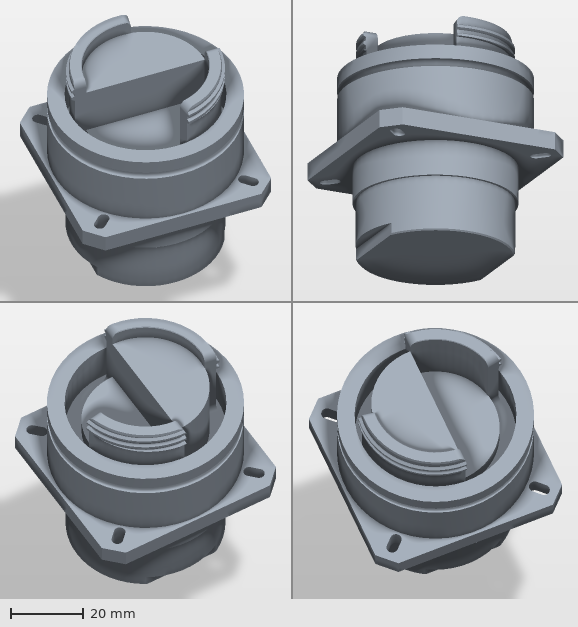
import cadquery as cq
import math

total_height = 64.26
flat_height = 3.4
step_z = 16.0
flange_bottom_z = 26.25
flange_top_z = 31.35
collar_top_z = 52.9
bore_floor_z = 41.2
low_core_z = 45.5
high_core_z = 59.85

flange_side = 56.39
flange_corner = 4.85
slot_offset = 21.95
slot_width = 3.2
slot_travel = 2.77

shoulder_radius = 23.06
tail_radius = 22.2
tail_chamfer = 0.4
flat_distance = 18.95

collar_radius = 27.35
bore_radius = 22.45
groove_bottom_z = 46.6
groove_width = 2.27
groove_floor_radius = 25.35

core_radius = 17.8
segment_inner_radius = 17.7
segment_inner_chamfer = 0.2
relief_radius = 21.1
root_radius = 21.25
tip_chamfer = (0.25, 0.7)
segment_spans = ((11, 90), (171, 270))
end_round = 2.2
base_fillet = 1.5

pitch = 2.54
crest_radius = 22.1
ridge_root_width = 1.6
ridge_crest_width = 0.7
thread_bottom_z = total_height - 6.33
top_crest_z = total_height - 1.56
thread_end_angle = 90
thread_turns = 2 + thread_end_angle / 360
ridge_embed = 0.3

overlap = 0.5


def cylinder(radius, bottom_z, top_z):
    return cq.Workplane("XY").workplane(offset=bottom_z).circle(radius).extrude(top_z - bottom_z)


def make_flange():
    flange = (
        cq.Workplane("XY")
        .workplane(offset=flange_bottom_z)
        .rect(flange_side, flange_side)
        .extrude(flange_top_z - flange_bottom_z)
        .edges("|Z")
        .chamfer(flange_corner)
    )
    slot_radius = slot_offset * math.sqrt(2)
    for angle in (45, 135, 225, 315):
        slot = (
            cq.Workplane("XY")
            .workplane(offset=flange_bottom_z)
            .center(slot_radius, 0)
            .slot2D(slot_travel + slot_width, slot_width)
            .extrude(flange_top_z - flange_bottom_z)
            .rotate((0, 0, 0), (0, 0, 1), angle)
        )
        flange = flange.cut(slot)
    return flange


def make_rear_body():
    tail = cylinder(tail_radius, 0, step_z).faces("<Z").chamfer(tail_chamfer)
    for side in (-1, 1):
        cut_depth = tail_radius - flat_distance + overlap
        flat = cq.Workplane("XY").box(2 * tail_radius, cut_depth, flat_height, centered=(True, True, False))
        tail = tail.cut(flat.translate((0, side * (flat_distance + cut_depth / 2), 0)))
    shoulder = cylinder(shoulder_radius, step_z, flange_bottom_z)
    return tail.union(shoulder)


def make_collar():
    collar = cylinder(collar_radius, flange_top_z, collar_top_z)
    collar = collar.cut(cylinder(bore_radius, bore_floor_z, collar_top_z))
    half_width = groove_width / 2
    arc_radius = groove_floor_radius + half_width
    groove = (
        cq.Workplane("XZ")
        .moveTo(collar_radius + overlap, groove_bottom_z)
        .lineTo(arc_radius, groove_bottom_z)
        .threePointArc(
            (groove_floor_radius, groove_bottom_z + half_width),
            (arc_radius, groove_bottom_z + groove_width),
        )
        .lineTo(collar_radius + overlap, groove_bottom_z + groove_width)
        .close()
        .revolve(360, (0, 0, 0), (0, 1, 0))
    )
    return collar.cut(groove)


def make_core():
    low_core = cylinder(core_radius, bore_floor_z, low_core_z)
    left_half = cq.Workplane("XY").box(
        core_radius, 2 * core_radius, total_height, centered=(False, True, False)
    ).translate((-core_radius, 0, 0))
    high_core = cylinder(core_radius, bore_floor_z, high_core_z).intersect(left_half)
    return low_core.union(high_core)


def make_thread():
    start_z = top_crest_z - pitch * thread_turns
    inner_radius = root_radius - ridge_embed
    path = cq.Wire.makeHelix(pitch, pitch * thread_turns, inner_radius).translate(cq.Vector(0, 0, start_z))
    ridge = (
        cq.Workplane("XZ")
        .moveTo(inner_radius, start_z - ridge_root_width / 2)
        .lineTo(root_radius, start_z - ridge_root_width / 2)
        .lineTo(crest_radius, start_z - ridge_crest_width / 2)
        .lineTo(crest_radius, start_z + ridge_crest_width / 2)
        .lineTo(root_radius, start_z + ridge_root_width / 2)
        .lineTo(inner_radius, start_z + ridge_root_width / 2)
        .close()
        .sweep(cq.Workplane(obj=path), isFrenet=True)
    )
    return ridge.intersect(cylinder(crest_radius + overlap, thread_bottom_z, total_height))


def make_threaded_ring():
    radial_chamfer, axial_chamfer = tip_chamfer
    sleeve = (
        cq.Workplane("XZ")
        .moveTo(segment_inner_radius, bore_floor_z)
        .lineTo(relief_radius, bore_floor_z)
        .lineTo(relief_radius, thread_bottom_z)
        .lineTo(root_radius, thread_bottom_z)
        .lineTo(root_radius, total_height - axial_chamfer)
        .lineTo(root_radius - radial_chamfer, total_height)
        .lineTo(segment_inner_radius + segment_inner_chamfer, total_height)
        .lineTo(segment_inner_radius, total_height - segment_inner_chamfer)
        .close()
        .revolve(360, (0, 0, 0), (0, 1, 0))
    )
    return sleeve.union(make_thread())


def make_sector(start_angle, end_angle):
    reach = 2 * crest_radius
    corners = [(0, 0)]
    for angle in (start_angle, (start_angle + end_angle) / 2, end_angle):
        corners.append((reach * math.cos(math.radians(angle)), reach * math.sin(math.radians(angle))))
    return cq.Workplane("XY").polyline(corners).close().extrude(total_height)


def corner_sliver(corner_z, radius, side, inner_radius, outer_radius):
    """Corner-to-arc sliver at angle 0, running radially; side is its sign in Y and Z."""
    diagonal = radius * (1 - math.sqrt(0.5))
    return (
        cq.Workplane("YZ")
        .workplane(offset=inner_radius)
        .moveTo(0, corner_z)
        .lineTo(side[0] * radius, corner_z)
        .threePointArc(
            (side[0] * diagonal, corner_z + side[1] * diagonal),
            (0, corner_z + side[1] * radius),
        )
        .close()
        .extrude(outer_radius - inner_radius)
    )


def make_segment(threaded_ring, start_angle, end_angle):
    segment = threaded_ring.intersect(make_sector(start_angle, end_angle))
    for angle, inward in ((start_angle, 1), (end_angle, -1)):
        rounding = corner_sliver(
            total_height, end_round, (inward, -1), segment_inner_radius - overlap, crest_radius + overlap
        )
        fillet = corner_sliver(bore_floor_z, base_fillet, (-inward, 1), segment_inner_radius, relief_radius)
        segment = segment.cut(rounding.rotate((0, 0, 0), (0, 0, 1), angle))
        segment = segment.union(fillet.rotate((0, 0, 0), (0, 0, 1), angle))
    return segment


result = make_flange().union(make_rear_body()).union(make_collar()).union(make_core())
threaded_ring = make_threaded_ring()
for span_start, span_end in segment_spans:
    result = result.union(make_segment(threaded_ring, span_start, span_end))